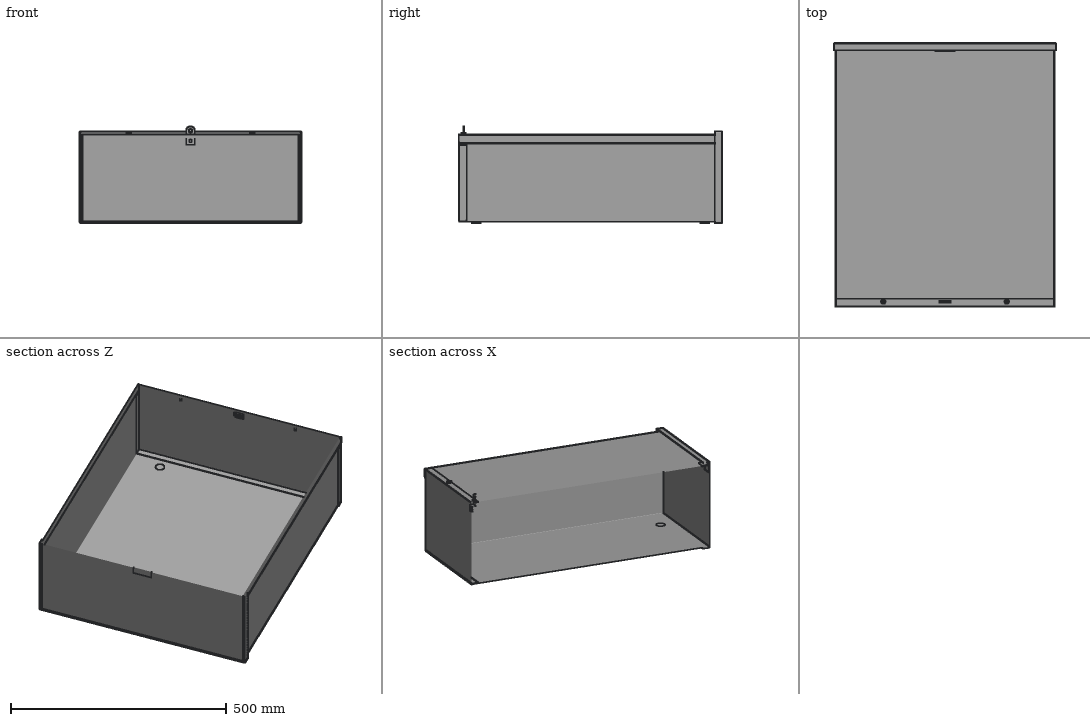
import cadquery as cq

length = 612.5
cap_width = 516.0
cap_height = 214.0
staple_top = 225.0
sheet = 1.65
front_y = -length / 2
rear_y = length / 2

wrap_width = 504.5
wrap_bottom = 3.0
wrap_bend = 2.5
pad_diameter = 21.0
pad_x = 184.0
pad_y = 266.0

cover_top = 207.0
cover_under = cover_top - sheet
cover_width = 509.5
cover_bend = 2.5
lip_bottom = 185.0
lip_bend = 3.0

flange_depth = 18.5
panel_bend = 3.0
tab_top = 180.5
panel_width = wrap_width + 2 * sheet

cap_depth = 17.0
cap_bend = 2.5
cap_corner = 4.0

fastening_y = -294.5
screw_x = 143.5
head_across_corners = 11.5
head_height = 2.5
shank_diameter = 4.35
shank_length = 9.0
socket_diameter = 5.95
socket_depth = 1.0

staple_width = 21.0
staple_thickness = 2.5
staple_bottom = 182.5
shelf_bottom = 195.0
loop_hole_diameter = 8.0
plate_hole_diameter = 7.0
plate_hole_z = 191.0
staple_bend = 2.5
loop_radius = 10.0
slot_length = 26.5
slot_width = 5.0

clip_width = 45.0
clip_depth = 18.0
clip_height = 18.5


def block(x_size, y_range, z_range):
    """A box centred on X = 0 between two Y values and two Z values."""
    return (
        cq.Workplane("XY", origin=(0, sum(y_range) / 2, z_range[0]))
        .box(x_size, y_range[1] - y_range[0], z_range[1] - z_range[0], centered=(True, True, False))
    )


def fastening_holes(z_bottom, z_top):
    """Cutters for the two screw holes and the staple slot."""
    workplane = cq.Workplane("XY", origin=(0, fastening_y, z_bottom))
    height = z_top - z_bottom
    holes = workplane.pushPoints([(-screw_x, 0), (screw_x, 0)]).circle(shank_diameter / 2).extrude(height)
    return holes.union(workplane.rect(slot_length, slot_width).extrude(height))


def make_wrap():
    """Bent floor and side walls, with four round mounting pads under the floor."""
    y_range = (front_y + sheet, rear_y - sheet)
    wall_top = cover_under - sheet
    outer = block(wrap_width, y_range, (wrap_bottom, wall_top)).edges("|Y and <Z").fillet(wrap_bend)
    inner = block(wrap_width - 2 * sheet, y_range, (wrap_bottom + sheet, wall_top))
    inner = inner.edges("|Y and <Z").fillet(wrap_bend - sheet)
    pads = (
        cq.Workplane("XY")
        .rect(2 * pad_x, 2 * pad_y, forConstruction=True)
        .vertices()
        .circle(pad_diameter / 2)
        .extrude(wrap_bottom)
    )
    return outer.cut(inner).union(pads)


def make_front_panel(wrap):
    """Tray-like plate whose flanges turn back over the walls, notched where the wrap passes through."""
    y_range = (front_y, front_y + flange_depth)
    z_range = (wrap_bottom + sheet, cover_under)
    outer = block(panel_width, y_range, z_range).edges("<Y").fillet(panel_bend)
    inner = block(
        wrap_width,
        (front_y + sheet, front_y + flange_depth),
        (z_range[0] + sheet, z_range[1] - sheet),
    )
    inner = inner.edges("<Y").fillet(panel_bend - sheet)
    above_tabs = block(panel_width, y_range, (tab_top, cover_under))
    between_lips = block(wrap_width, y_range, (tab_top, cover_under))
    panel = outer.cut(inner).cut(above_tabs.cut(between_lips))
    return panel.cut(wrap).cut(fastening_holes(cover_under - sheet, cover_under))


def make_cover():
    """Top sheet with rounded side lips whose lower edges turn in to the walls."""
    y_range = (front_y, rear_y - sheet)
    outer = block(cover_width, y_range, (lip_bottom, cover_top))
    outer = outer.edges("|Y and >Z").fillet(cover_bend).edges("|Y and <Z").fillet(lip_bend)
    inside = block(cover_width - 2 * sheet, y_range, (lip_bottom + sheet, cover_under))
    between_lips = block(wrap_width, y_range, (lip_bottom, lip_bottom + sheet))
    return outer.cut(inside).cut(between_lips).cut(fastening_holes(cover_under, cover_top))


def make_rear_cap():
    """Shallow pan that closes the rear and overhangs the cover and walls."""
    outer = block(cap_width, (rear_y - cap_depth, rear_y), (0, cap_height))
    outer = outer.edges("|Y").fillet(cap_corner).faces(">Y").edges().fillet(cap_bend)
    inner = block(
        cap_width - 2 * sheet,
        (rear_y - cap_depth, rear_y - sheet),
        (sheet, cap_height - sheet),
    )
    inner = inner.edges("|Y").fillet(cap_corner - sheet)
    return outer.cut(inner)


def make_staple():
    """Plate behind the front panel, bent back and up through the cover into a padlock loop."""
    plate_y = front_y + sheet
    loop_front = fastening_y - staple_thickness / 2
    loop_back = fastening_y + staple_thickness / 2
    plate_back = plate_y + staple_thickness
    shelf_top = shelf_bottom + staple_thickness
    loop_center_z = staple_top - staple_width / 2
    profile = (
        cq.Workplane("YZ")
        .moveTo(plate_y, staple_bottom)
        .lineTo(plate_back, staple_bottom)
        .lineTo(plate_back, shelf_bottom)
        .lineTo(loop_back, shelf_bottom)
        .lineTo(loop_back, staple_top)
        .lineTo(loop_front, staple_top)
        .lineTo(loop_front, shelf_top)
        .lineTo(plate_y, shelf_top)
        .close()
        .extrude(staple_width / 2, both=True)
    )
    lower_bend = cq.selectors.NearestToPointSelector((0, plate_y, shelf_top))
    staple = profile.edges(lower_bend).fillet(staple_bend)
    staple = staple.edges("|Y and >Z").fillet(loop_radius)
    loop_hole = (
        cq.Workplane("XZ", origin=(0, loop_back, 0))
        .center(0, loop_center_z).circle(loop_hole_diameter / 2).extrude(staple_thickness)
    )
    plate_hole = (
        cq.Workplane("XZ", origin=(0, plate_back, 0))
        .center(0, plate_hole_z).circle(plate_hole_diameter / 2).extrude(staple_thickness)
    )
    return staple.cut(loop_hole).cut(plate_hole)


def make_screw(x):
    """Hexagon-head screw standing on the cover at the given X."""
    base = cq.Workplane("XY", origin=(x, fastening_y, cover_top))
    head = base.polygon(6, head_across_corners).extrude(head_height)
    shank = base.circle(shank_diameter / 2).extrude(-shank_length)
    socket = (
        cq.Workplane("XY", origin=(x, fastening_y, cover_top + head_height))
        .circle(socket_diameter / 2).extrude(-socket_depth)
    )
    return head.union(shank).cut(socket)


def make_rear_clip():
    """Angle fixed to the rear cap, with its top leg under the cover."""
    back_y = rear_y - sheet
    y_range = (back_y - clip_depth, back_y)
    outer = block(clip_width, y_range, (cover_under - clip_height, cover_under))
    inner = block(
        clip_width,
        (y_range[0], back_y - sheet),
        (cover_under - clip_height, cover_under - sheet),
    )
    return outer.cut(inner)


wrap = make_wrap()
front_panel = make_front_panel(wrap)
cover = make_cover()
rear_cap = make_rear_cap()
rear_clip = make_rear_clip()
staple = make_staple()
screws = [make_screw(x) for x in (-screw_x, screw_x)]

result = cq.Compound.makeCompound(
    [wrap.val(), front_panel.val(), rear_cap.val(), cover.val(), rear_clip.val(), staple.val()]
    + [screw.val() for screw in screws]
)